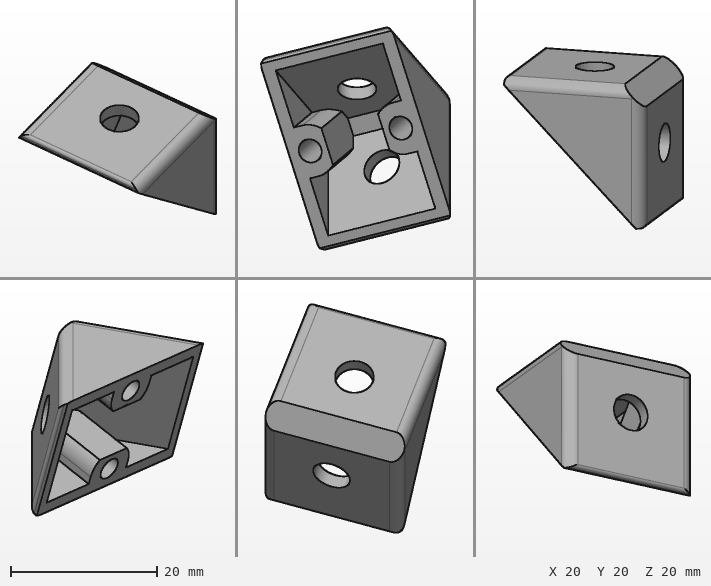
import math

import cadquery as cq

size = 20.0
half = size / 2

plate_thickness = 2.0
side_wall_thickness = 1.9
edge_radius = 1.67
tip_land = 1.0
tip_radius = 0.5
corner_chamfer = 3.0

bolt_diameter = 5.3

boss_offset = 6.85
boss_radius = 3.7
boss_gap = 8.56
screw_diameter = 3.3

inner_half = half - plate_thickness
inner_chamfer = corner_chamfer + plate_thickness * math.sqrt(2) - 2 * plate_thickness
cavity_width = size - 2 * side_wall_thickness

open_centre = -tip_land / 2
inner_chamfer_centre = inner_half - inner_chamfer / 2
boss_length = (inner_chamfer_centre - open_centre) * math.sqrt(2)


def extrude_along_x(profile, width):
    """Extrude a closed (Y, Z) profile symmetrically about the middle plane."""
    return profile.close().extrude(width / 2, both=True)


def make_wedge():
    """Triangular side profile with blunt rounded tips and a chamfered corner."""
    land_end = half - tip_land
    arc_centre = half - tip_radius
    arc_middle = arc_centre + tip_radius / math.sqrt(2)
    profile = (
        cq.Workplane("YZ")
        .moveTo(-half, land_end)
        .lineTo(-half, arc_centre)
        .threePointArc((-arc_middle, arc_middle), (-arc_centre, half))
        .lineTo(half - corner_chamfer, half)
        .lineTo(half, half - corner_chamfer)
        .lineTo(half, -arc_centre)
        .threePointArc((arc_middle, -arc_middle), (arc_centre, -half))
        .lineTo(land_end, -half)
    )
    return extrude_along_x(profile, size)


def make_body():
    """Wedge with the side edges of both plates rounded."""
    block = cq.Workplane("XY").box(size, size, size)
    rounded_top = block.edges("|Y and >Z").fillet(edge_radius)
    rounded_back = block.edges("|Z and >Y").fillet(edge_radius)
    return make_wedge().intersect(rounded_top).intersect(rounded_back)


def make_cavity():
    """Inner space between the plates, up to the open sloped face."""
    open_end = -inner_half - tip_land
    profile = (
        cq.Workplane("YZ")
        .moveTo(open_end, inner_half)
        .lineTo(inner_half - inner_chamfer, inner_half)
        .lineTo(inner_half, inner_half - inner_chamfer)
        .lineTo(inner_half, open_end)
    )
    return extrude_along_x(profile, cavity_width)


def slope_plane(side):
    """Plane on the open face at one screw axis, with its normal pointing into the part."""
    return cq.Plane(
        origin=(side * boss_offset, open_centre, open_centre),
        xDir=(1, 0, 0),
        normal=(0, 1, 1),
    )


def make_boss(side):
    """Screw boss: rounded toward the middle, joined to the side wall, cut flat inside."""
    plane = slope_plane(side)
    wall_reach = cavity_width / 2 - boss_offset
    flat_reach = boss_offset - boss_gap / 2
    round_part = cq.Workplane(plane).circle(boss_radius).extrude(boss_length)
    wall_part = (
        cq.Workplane(plane)
        .center(side * wall_reach / 2, 0)
        .rect(wall_reach, 2 * boss_radius)
        .extrude(boss_length)
    )
    limits = (
        cq.Workplane(plane)
        .center(side * (wall_reach - flat_reach) / 2, 0)
        .rect(wall_reach + flat_reach, 2 * boss_radius)
        .extrude(boss_length)
    )
    return round_part.union(wall_part).intersect(limits)


def make_screw_hole(side):
    """Blind screw hole, ending level with the inner chamfer."""
    return cq.Workplane(slope_plane(side)).circle(screw_diameter / 2).extrude(boss_length)


def make_bolt_holes():
    """Bolt holes through the top and back plates, at the centre of each square."""
    top_hole = cq.Workplane("XY").circle(bolt_diameter / 2).extrude(half)
    back_hole = cq.Workplane("XZ").circle(bolt_diameter / 2).extrude(-half)
    return top_hole.union(back_hole)


cavity = make_cavity()
for boss_side in (-1, 1):
    cavity = cavity.cut(make_boss(boss_side))

result = make_body().cut(cavity).cut(make_bolt_holes())
for boss_side in (-1, 1):
    result = result.cut(make_screw_hole(boss_side))